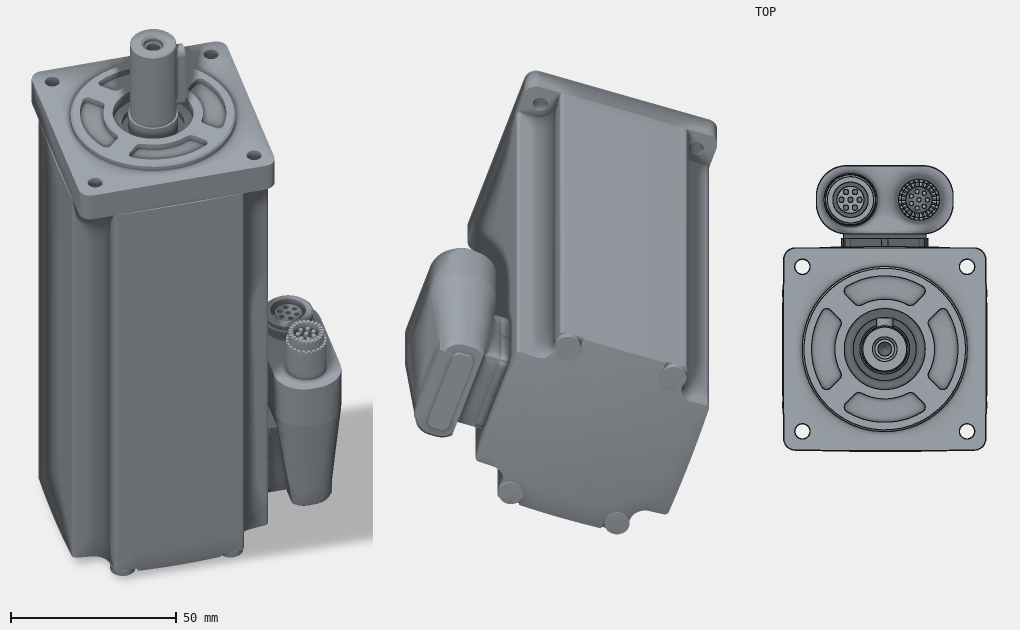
import cadquery as cq
import math

total_height = 181.8
total_depth = 86.5

flange_width = 61.3
flange_corner_radius = 3.6
flange_bottom_z = 142.9
flange_top_z = 152.1
bolt_spacing = 49.8
bolt_diameter = 4.5

boss_diameter = 50.0
boss_top_z = 154.3
boss_chamfer = 0.5
seal_recess_diameter = 24.5
seal_recess_depth = 4.0
seal_bore_diameter = 19.0
seal_bore_depth = 6.0
pocket_inner_radius = 15.0
pocket_outer_radius = 22.2
pocket_depth = 2.2
pocket_corner_radius = 1.6
spoke_width = 6.5

shaft_diameter = 14.0
shaft_chamfer = 0.4
collar_diameter = 15.0
center_sink_diameter = 7.5
center_bore_diameter = 6.0
center_bore_depth = 1.8
center_drill_diameter = 4.2
center_drill_depth = 10.9
key_width = 5.0
key_bottom_z = 156.9
key_top_z = 178.9
key_reach = 9.5
key_seat = 4.0

housing_width = 62.0
housing_half_width = housing_width / 2
housing_crown = 0.27
channel_wall = 20.4
housing_edge_radius = 1.18
base_sphere_radius = 249.0

screw_y = 16.9
screw_head_diameter = 7.6
screw_x = housing_half_width - screw_head_diameter / 2
screw_bottom_z = 1.3
screw_top_z = 3.3

shell_width = 41.5
shell_depth = 20.7
shell_flat = 2.2
shell_center_y = total_depth - housing_half_width - shell_depth / 2
shell_top_z = 53.3
taper_top_z = 38.7
taper_bottom_z = 4.2
taper_angle = 5.5
front_cut_bottom_reach = 5.5
taper_end_chamfer = 0.9
tip_z = 3.0
tip_width = 27.3
tip_depth = 6.5
fin_back_y = 52.7
fin_bottom_z = 4.0
fin_top_z = 17.3

mount_size = 26.2
mount_center_z = 21.0
mount_corner_radius = 2.7
mount_back_y = 33.5
notch_width = 2.0
notch_depth = 0.27
neck_size = 25.0

socket_x = (shell_width - shell_depth) / 2
power_diameter = 15.0
power_top_z = 59.3
power_chamfer = 0.5
power_ring_diameter = 16.0
power_ring_bottom_z = 55.0
power_ring_top_z = 57.3
power_ring_chamfer = 0.4
power_bore_diameter = 10.7
power_bore_depth = 4.5
power_insert_diameter = 8.2
power_insert_drop = 1.0
power_contact_diameter = 1.65
power_contact_circle = 5.5
power_contact_count = 6
signal_diameter = 12.4
signal_step_z = 64.2
signal_rim_diameter = 10.7
signal_top_z = 67.5
signal_bore_diameter = 8.0
signal_bore_depth = 4.5
signal_pin_diameter = 1.25
signal_pin_circle = 5.0
signal_pin_count = 7
signal_pin_drop = 0.9
contact_depth = 1.8
serration_count = 24
serration_width = 0.45
serration_depth = 0.5


def cylinder(diameter, bottom_z, top_z, x=0.0, y=0.0):
    """Upright cylinder between two heights."""
    disc = cq.Workplane("XY", origin=(x, y, bottom_z)).circle(diameter / 2)
    return disc.extrude(top_z - bottom_z)


def box(x_range, y_range, z_range):
    """Box given by its limits along each axis."""
    sizes = [high - low for low, high in (x_range, y_range, z_range)]
    corner = (x_range[0], y_range[0], z_range[0])
    return cq.Workplane("XY", origin=corner).box(*sizes, centered=False)


def ring_points(count, circle_diameter):
    """Evenly spaced points on a circle."""
    return [turned(circle_diameter / 2, 0, 360 * i / count) for i in range(count)]


def turned(x, y, degrees):
    """Point turned about the origin."""
    angle = math.radians(degrees)
    return (x * math.cos(angle) - y * math.sin(angle), x * math.sin(angle) + y * math.cos(angle))


def rounded_slab(width, depth, height, corner_radius):
    """Upright plate centred on the axis, with rounded vertical corners."""
    return cq.Workplane("XY").rect(width, depth).extrude(height).edges("|Z").fillet(corner_radius)


def make_housing():
    """Housing with crowned sides and a round-bottomed channel along each corner bolt."""
    bolt = bolt_spacing / 2
    edge = housing_half_width - housing_crown
    arc_middle = bolt - (bolt - channel_wall) / math.sqrt(2)

    profile = cq.Workplane("XY").moveTo(-channel_wall, edge)
    for turn in (0, -90, -180, -270):
        side_middle, side_end, wall_end, channel_middle, channel_end, next_side = [
            turned(x, y, turn)
            for x, y in (
                (0, housing_half_width),
                (channel_wall, edge),
                (channel_wall, bolt),
                (arc_middle, arc_middle),
                (bolt, channel_wall),
                (edge, channel_wall),
            )
        ]
        profile = (
            profile.threePointArc(side_middle, side_end)
            .lineTo(*wall_end)
            .threePointArc(channel_middle, channel_end)
            .lineTo(*next_side)
        )
    housing = profile.close().extrude(flange_bottom_z)

    def is_lip(line):
        center = line.Center()
        return math.hypot(center.x, center.y) > math.hypot(bolt, channel_wall)

    housing = housing.edges("|Z").filter(is_lip).fillet(housing_edge_radius)

    dome = cq.Workplane("XY", origin=(0, 0, base_sphere_radius)).sphere(base_sphere_radius)
    return housing.intersect(dome)


def add_cover_screws(body):
    """Four screw heads standing in notches at the foot of the X sides."""
    radius = screw_head_diameter / 2
    for side in (-1, 1):
        for y in (-screw_y, screw_y):
            x_limits = sorted((side * screw_x, side * 2 * screw_x))
            body = body.cut(box(x_limits, (y - radius, y + radius), (0, screw_top_z)))
            body = body.union(
                cylinder(screw_head_diameter, screw_bottom_z, screw_top_z, side * screw_x, y))
    return body


def make_flange():
    """Square flange with bolt holes, centring boss, shallow pockets and seal seat."""
    thickness = flange_top_z - flange_bottom_z
    flange = rounded_slab(flange_width, flange_width, thickness, flange_corner_radius)
    flange = flange.translate((0, 0, flange_bottom_z))
    boss = cylinder(boss_diameter, flange_top_z, boss_top_z).faces(">Z").chamfer(boss_chamfer)
    flange = flange.union(boss)
    flange = flange.cut(cylinder(seal_recess_diameter, boss_top_z - seal_recess_depth, boss_top_z))
    flange = flange.cut(cylinder(seal_bore_diameter, boss_top_z - seal_bore_depth, boss_top_z))

    pocket_bottom = boss_top_z - pocket_depth
    pockets = cylinder(2 * pocket_outer_radius, pocket_bottom, boss_top_z)
    pockets = pockets.cut(cylinder(2 * pocket_inner_radius, pocket_bottom, boss_top_z))
    for angle in (45, 135):
        spoke = box((-boss_diameter, boss_diameter), (-spoke_width / 2, spoke_width / 2),
                    (pocket_bottom, boss_top_z))
        pockets = pockets.cut(spoke.rotate((0, 0, 0), (0, 0, 1), angle))
    pockets = pockets.edges("|Z").fillet(pocket_corner_radius)
    flange = flange.cut(pockets)

    holes = (cq.Workplane("XY", origin=(0, 0, flange_bottom_z))
             .rect(bolt_spacing, bolt_spacing, forConstruction=True)
             .vertices().circle(bolt_diameter / 2).extrude(thickness))
    return flange.cut(holes)


def make_shaft():
    """Shaft with a wider seal collar, a feather key and a centre hole."""
    shaft = cylinder(shaft_diameter, flange_bottom_z, total_height).faces(">Z").chamfer(shaft_chamfer)
    shaft = shaft.union(cylinder(collar_diameter, flange_bottom_z, boss_top_z))

    key = (cq.Workplane("XZ", origin=(0, key_reach, (key_bottom_z + key_top_z) / 2))
           .slot2D(key_top_z - key_bottom_z, key_width, 90).extrude(key_reach - key_seat))
    shaft = shaft.union(key)

    sink_depth = (center_sink_diameter - center_bore_diameter) / 2
    drill_radius = center_drill_diameter / 2
    center_hole = (
        cq.Workplane("XZ")
        .moveTo(0, total_height)
        .lineTo(center_sink_diameter / 2, total_height)
        .lineTo(center_bore_diameter / 2, total_height - sink_depth)
        .lineTo(center_bore_diameter / 2, total_height - center_bore_depth)
        .lineTo(drill_radius, total_height - center_bore_depth)
        .lineTo(drill_radius, total_height - center_drill_depth)
        .lineTo(0, total_height - center_drill_depth - drill_radius)
        .close()
        .revolve(360, (0, 0, 0), (0, 1, 0))
    )
    return shaft.cut(center_hole)


def shell_outline(z, width, depth):
    """Rounded outline of the connector shell with a narrow flat at each end."""
    sketch = cq.Sketch().rect(width, depth).vertices().fillet((depth - shell_flat) / 2)
    return cq.Workplane("XY", origin=(0, shell_center_y, z)).placeSketch(sketch)


def make_shell():
    """Straight upper shell, tapered lower shell, end tip and rear fin."""
    shell = shell_outline(taper_top_z, shell_width, shell_depth).extrude(shell_top_z - taper_top_z)

    taper_height = taper_top_z - taper_bottom_z
    taper = shell_outline(taper_top_z, shell_width, shell_depth).extrude(-taper_height, taper=taper_angle)
    taper = taper.faces("<Z").chamfer(taper_end_chamfer)
    front_cut = (
        cq.Workplane("YZ", origin=(-shell_width / 2, 0, 0))
        .moveTo(shell_center_y - shell_depth / 2, taper_top_z)
        .lineTo(shell_center_y - front_cut_bottom_reach, taper_bottom_z)
        .lineTo(shell_center_y - shell_depth / 2, taper_bottom_z)
        .close()
        .extrude(shell_width)
    )
    shell = shell.union(taper.cut(front_cut))

    shell = shell.union(shell_outline(tip_z, tip_width, tip_depth).extrude(taper_bottom_z - tip_z))
    fin = box((-neck_size / 2, neck_size / 2), (shell_center_y, fin_back_y), (fin_bottom_z, fin_top_z))
    return shell.union(fin)


def make_mount():
    """Square mounting plate on the housing and the neck that carries the shell."""
    seat_y = housing_half_width - 2 * housing_crown
    thickness = mount_back_y - seat_y
    plate = rounded_slab(mount_size, mount_size, thickness, mount_corner_radius)
    half = mount_size / 2
    for angle in range(0, 360, 90):
        notch = box((half - notch_depth, half), (-notch_width / 2, notch_width / 2), (0, thickness))
        plate = plate.cut(notch.rotate((0, 0, 0), (0, 0, 1), angle))
    neck = cq.Workplane("XY").rect(neck_size, neck_size).extrude(shell_center_y - seat_y)
    mount = plate.union(neck)
    return mount.rotate((0, 0, 0), (1, 0, 0), -90).translate((0, seat_y, mount_center_z))


def make_power_socket():
    """Wide socket with a coupling ring and a recessed contact insert."""
    socket = cylinder(power_diameter, shell_top_z, power_top_z).faces(">Z").chamfer(power_chamfer)
    ring = cylinder(power_ring_diameter, power_ring_bottom_z, power_ring_top_z)
    socket = socket.union(ring.faces("<Z or >Z").chamfer(power_ring_chamfer))
    floor_z = power_top_z - power_bore_depth
    insert_top_z = power_top_z - power_insert_drop
    socket = socket.cut(cylinder(power_bore_diameter, floor_z, power_top_z))
    socket = socket.union(cylinder(power_insert_diameter, floor_z, insert_top_z))
    for x, y in ring_points(power_contact_count, power_contact_circle) + [(0, 0)]:
        socket = socket.cut(
            cylinder(power_contact_diameter, insert_top_z - contact_depth, insert_top_z, x, y))
    return socket.translate((-socket_x, shell_center_y, 0))


def serrations(top_z):
    """Ring of radial grooves running outward from the bore, with their open side at top_z."""
    grooves = cq.Workplane("XY")
    blank = box((signal_bore_diameter / 2, signal_diameter), (-serration_width / 2, serration_width / 2),
                (top_z - serration_depth, top_z))
    for i in range(serration_count):
        grooves = grooves.add(blank.rotate((0, 0, 0), (0, 0, 1), 360 * i / serration_count))
    return grooves.combine()


def make_signal_socket():
    """Narrow stepped socket with serrated shoulders and contact pins."""
    socket = cylinder(signal_diameter, shell_top_z, signal_step_z)
    socket = socket.cut(serrations(signal_step_z))
    socket = socket.union(cylinder(signal_rim_diameter, shell_top_z, signal_top_z))
    socket = socket.cut(serrations(signal_top_z))
    floor_z = signal_top_z - signal_bore_depth
    socket = socket.cut(cylinder(signal_bore_diameter, floor_z, signal_top_z))
    for x, y in ring_points(signal_pin_count, signal_pin_circle) + [(0, 0)]:
        pin = cylinder(signal_pin_diameter, floor_z, signal_top_z - signal_pin_drop, x, y)
        socket = socket.union(pin)
    return socket.translate((socket_x, shell_center_y, 0))


motor = add_cover_screws(make_housing()).union(make_flange()).union(make_shaft())
connector = make_mount().union(make_shell()).union(make_power_socket()).union(make_signal_socket())
result = motor.union(connector)